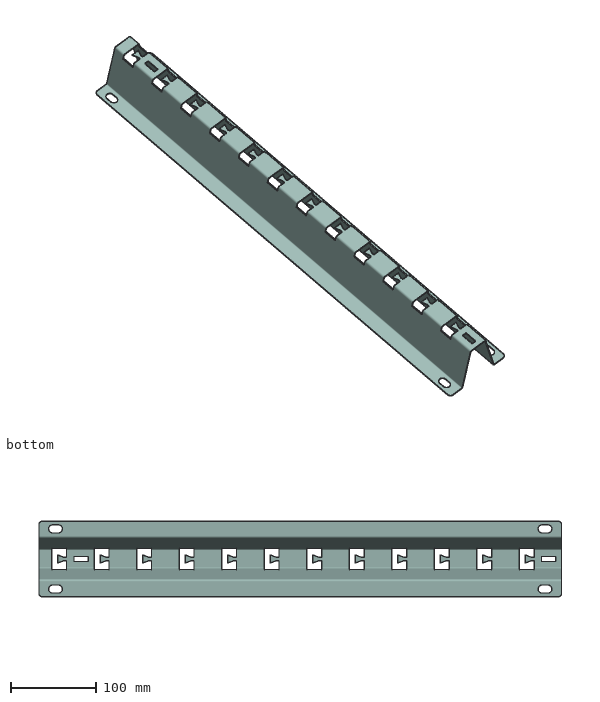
import cadquery as cq
import math

length = 615.0
width = 89.0
height = 60.0
sheet = 1.55

crest_half = 12.0
foot_half = 26.0
inner_bend = 1.0
outer_bend = inner_bend + sheet
flange_corner_radius = 4.0

hole_length = 16.0
hole_width = 9.0
hole_end_distance = 19.5
hole_side_distance = 9.0

window_count = 12
window_length = 17.0
window_depth = 7.0
first_window = 24.0
last_window_end_distance = 41.0
last_window = length - last_window_end_distance
window_pitch = (last_window - first_window) / (window_count - 1)

tongue_length = 10.5
tongue_head_length = 7.5
tongue_head_width = 10.0
tongue_neck_width = 4.0

slot_offset = 26.0
slot_length = 16.5
slot_width = 5.5

wall_angle = math.atan2(foot_half - crest_half, height - sheet)
wall_across = sheet / math.cos(wall_angle)


def wall_outer(z):
    """Half-width of the sloping wall's outer skin at height z."""
    return crest_half + (height - z) * math.tan(wall_angle)


def wall_inner(z):
    """Half-width of the sloping wall's inner skin at height z."""
    return wall_outer(z) - wall_across


def hat_section():
    """Bent sheet with two flanges, two sloping walls and a flat crest."""
    inner_foot = (wall_inner(0), 0)
    outer_foot = (wall_outer(sheet), sheet)
    outer_crest = (crest_half, height)
    inner_crest = (wall_inner(height - sheet), height - sheet)
    half = [
        inner_crest,
        inner_foot,
        (width / 2, 0),
        (width / 2, sheet),
        outer_foot,
        outer_crest,
    ]
    mirrored = [(-y, z) for y, z in reversed(half)]
    rail = cq.Workplane("YZ").polyline(half + mirrored).close().extrude(length)

    bends = [
        (inner_foot, outer_bend),
        (outer_foot, inner_bend),
        (outer_crest, outer_bend),
        (inner_crest, inner_bend),
    ]
    for (y, z), radius in bends:
        for side in (-1, 1):
            corner = cq.NearestToPointSelector((length / 2, side * y, z))
            rail = rail.edges(corner).fillet(radius)

    blank = cq.Workplane("XY").box(length, width, height, centered=(False, True, False))
    blank = blank.edges("|Z").fillet(flange_corner_radius)
    return rail.intersect(blank)


def mounting_holes():
    end_x = (hole_end_distance, length - hole_end_distance)
    side_y = width / 2 - hole_side_distance
    places = [(x, y) for x in end_x for y in (-side_y, side_y)]
    return cq.Workplane("XY").pushPoints(places).slot2D(hole_length, hole_width).extrude(sheet)


def window_cutter():
    """Opening through crest and upper walls around one tongue, centred on X = 0."""
    opening = cq.Workplane("XY", origin=(0, 0, height - window_depth))
    opening = opening.rect(window_length, width).extrude(window_depth)

    root_x = window_length / 2
    tip_x = root_x - tongue_length
    shoulder_x = tip_x + tongue_head_length
    tongue = (
        cq.Workplane("XY", origin=(0, 0, height - sheet))
        .moveTo(tip_x, -tongue_head_width / 2)
        .lineTo(shoulder_x, -tongue_neck_width / 2)
        .lineTo(root_x, -tongue_neck_width / 2)
        .lineTo(root_x, tongue_neck_width / 2)
        .lineTo(shoulder_x, tongue_neck_width / 2)
        .lineTo(tip_x, tongue_head_width / 2)
        .close()
        .extrude(sheet)
    )
    return opening.cut(tongue)


def crest_slots():
    first_slot = first_window + slot_offset
    last_slot = last_window + slot_offset
    places = [(first_slot, 0), (last_slot, 0)]
    base = cq.Workplane("XY", origin=(0, 0, height - sheet))
    return base.pushPoints(places).rect(slot_length, slot_width).extrude(sheet)


result = hat_section().cut(mounting_holes()).cut(crest_slots())
window = window_cutter()
for index in range(window_count):
    result = result.cut(window.translate((first_window + index * window_pitch, 0, 0)))